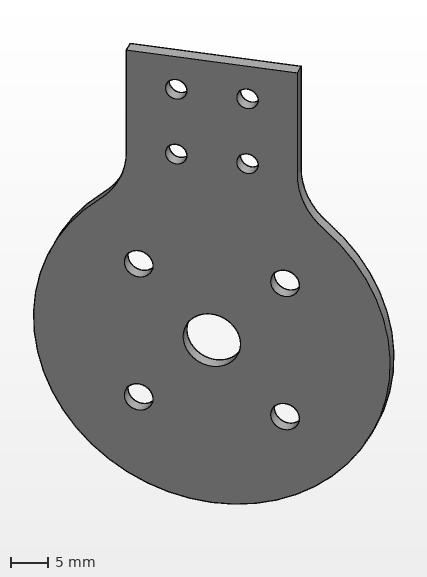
import cadquery as cq
import math

height = 67.9
thickness = 2.0
disc_diameter = 50.0
tab_width = 24.0
neck_radius = 10.0

center_hole_diameter = 8.0
disc_hole_diameter = 4.0
disc_hole_spacing = 20.5
tab_hole_diameter = 3.0
tab_hole_spacing = 10.0
tab_hole_top_margin = 5.0

disc_radius = disc_diameter / 2
tab_half = tab_width / 2
tab_top = height - disc_radius
tab_holes_z = tab_top - tab_hole_top_margin - tab_hole_spacing / 2

neck_x = tab_half + neck_radius
center_distance = disc_radius + neck_radius
neck_z = math.sqrt(center_distance ** 2 - neck_x ** 2)
disc_share = disc_radius / center_distance
join_x = neck_x * disc_share
join_z = neck_z * disc_share
neck_angle = math.pi + math.asin(neck_z / center_distance) / 2
neck_mid_x = neck_x + neck_radius * math.cos(neck_angle)
neck_mid_z = neck_z + neck_radius * math.sin(neck_angle)


def back_plane():
    """Workplane on the +Y face, extruding toward -Y."""
    return cq.Workplane("XZ", origin=(0, thickness / 2, 0))


def make_plate():
    """Disc with a rectangular tab, blended by two concave neck arcs."""
    return (
        back_plane()
        .moveTo(-tab_half, tab_top)
        .lineTo(tab_half, tab_top)
        .lineTo(tab_half, neck_z)
        .threePointArc((neck_mid_x, neck_mid_z), (join_x, join_z))
        .threePointArc((0, -disc_radius), (-join_x, join_z))
        .threePointArc((-neck_mid_x, neck_mid_z), (-tab_half, neck_z))
        .close()
        .extrude(thickness)
    )


def square_hole_pattern(diameter, spacing, center_z):
    """Four through-hole cutters at the corners of a square."""
    return (
        back_plane()
        .center(0, center_z)
        .rarray(spacing, spacing, 2, 2)
        .circle(diameter / 2)
        .extrude(thickness)
    )


center_hole = back_plane().circle(center_hole_diameter / 2).extrude(thickness)

result = (
    make_plate()
    .cut(center_hole)
    .cut(square_hole_pattern(disc_hole_diameter, disc_hole_spacing, 0))
    .cut(square_hole_pattern(tab_hole_diameter, tab_hole_spacing, tab_holes_z))
)